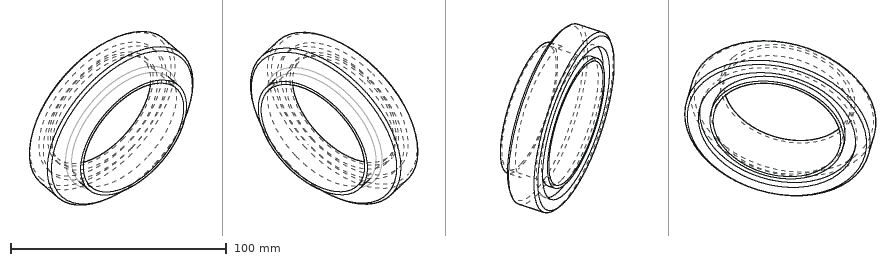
import cadquery as cq
import math

overall_length = 24.0
bore_diameter = 60.5

flange_diameter = 88.0
flange_length = 15.5
chamfer_radial = 1.5
chamfer_angle = 40.0
chamfer_axial = chamfer_radial * math.tan(math.radians(chamfer_angle))

sleeve_diameter = 63.9
sleeve_fillet = 2.0

groove_inner_diameter = 63.5
groove_outer_diameter = 74.5
groove_depth = 3.2


def ring(outer_diameter, inner_diameter, length):
    """Plain ring along +X, starting at the front face X = 0."""
    profile = cq.Workplane("YZ").circle(outer_diameter / 2).circle(inner_diameter / 2)
    return profile.extrude(length)


def turned_body():
    """Chamfered flange and thin sleeve with a filleted root, revolved about X."""
    bore_radius = bore_diameter / 2
    flange_radius = flange_diameter / 2
    sleeve_radius = sleeve_diameter / 2
    face_radius = flange_radius - chamfer_radial
    fillet_end = flange_length + sleeve_fillet
    arc_offset = sleeve_fillet * (1 - math.sqrt(0.5))

    profile = (
        cq.Workplane("XY")
        .moveTo(0, bore_radius)
        .lineTo(0, face_radius)
        .lineTo(chamfer_axial, flange_radius)
        .lineTo(flange_length - chamfer_axial, flange_radius)
        .lineTo(flange_length, face_radius)
        .lineTo(flange_length, sleeve_radius + sleeve_fillet)
        .threePointArc(
            (flange_length + arc_offset, sleeve_radius + arc_offset),
            (fillet_end, sleeve_radius),
        )
        .lineTo(overall_length, sleeve_radius)
        .lineTo(overall_length, bore_radius)
        .close()
    )
    return profile.revolve(axisStart=(0, 0, 0), axisEnd=(1, 0, 0))


def face_groove():
    """Annular groove in the front face, leaving a thin rim around the bore."""
    return ring(groove_outer_diameter, groove_inner_diameter, groove_depth)


result = turned_body().cut(face_groove())